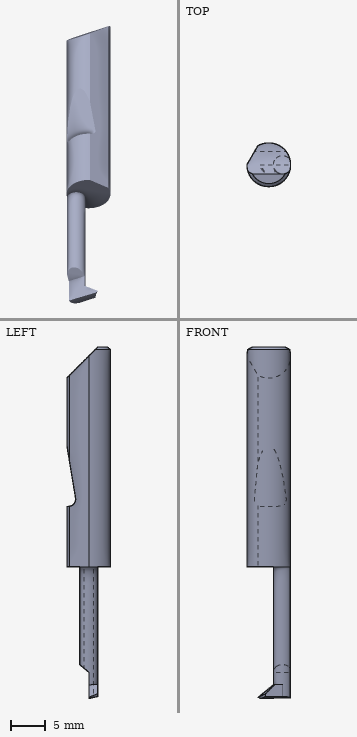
import cadquery as cq
import math

total_length = 50.8
shank_radius = 3.175
shank_bottom = 19.05
shank_chamfer_width = 0.45
shank_chamfer_height = 0.4
side_flat_distance = shank_radius * math.cos(math.radians(30))
side_flat_direction = 150
slant_start_y = -1.3

notch_top = 36.6
notch_bottom = 27.8
notch_root_y = 1.75
notch_fillet = 1.0

neck_radius = 1.3
neck_x = 2.0
relief_bottom = 3.8
relief_top = 4.95

tip_height = 2.1
corner_x = -1.5
corner_z = 0.2
nose_x = -1.15
heel_corner_x = -0.45
heel_corner_z = 0.7
heel_bottom = 0.3
edge_end_z = 0.1
rake_top_x = 0.75
heel_top_x = 0.9

margin = 0.5
wide = 4 * shank_radius


def side_prism(points):
    """Extrude an outline of (y, z) points right across the part along X."""
    return cq.Workplane("YZ").polyline(points).close().extrude(wide / 2, both=True)


def side_flat():
    block = cq.Workplane("XY").box(wide, wide, total_length, centered=(False, True, False))
    block = block.translate((side_flat_distance, 0, 0))
    return block.rotate((0, 0, 0), (0, 0, 1), side_flat_direction)


def slanted_end():
    outer_y = shank_radius + margin
    return side_prism([
        (slant_start_y - margin, total_length + margin),
        (outer_y, total_length + margin),
        (outer_y, total_length - (outer_y - slant_start_y)),
    ])


def clamping_notch():
    notch = side_prism([
        (shank_radius, notch_top),
        (notch_root_y, notch_bottom),
        (shank_radius + margin, notch_bottom),
        (shank_radius + margin, notch_top),
    ])
    root = cq.selectors.NearestToPointSelector((0, notch_root_y, notch_bottom))
    return notch.edges("|X").edges(root).fillet(notch_fillet)


def make_shank():
    length = total_length - shank_bottom
    shank = cq.Workplane("XY", origin=(0, 0, shank_bottom)).circle(shank_radius).extrude(length)
    shank = shank.faces(">Z").chamfer(shank_chamfer_height, shank_chamfer_width)
    return shank.cut(side_flat()).cut(slanted_end()).cut(clamping_notch())


def make_neck():
    """Round bar trimmed by the shank cylinder, with its lower end ground to half section."""
    neck = cq.Workplane("XY").center(neck_x, 0).circle(neck_radius).extrude(shank_bottom)
    envelope = cq.Workplane("XY").circle(shank_radius).extrude(shank_bottom)
    half_relief = side_prism([
        (0, -margin),
        (0, relief_bottom),
        (neck_radius, relief_top),
        (neck_radius + margin, relief_top),
        (neck_radius + margin, -margin),
    ])
    end_clearance = side_prism([
        (margin, -margin),
        (0, edge_end_z),
        (-neck_radius, heel_bottom),
        (-neck_radius - margin, -margin),
    ])
    return neck.intersect(envelope).cut(half_relief).cut(end_clearance)


def make_tip():
    """Ruled hook between the rake outline and the smaller heel outline."""
    rake_outline = [
        (neck_x, tip_height),
        (rake_top_x, tip_height),
        (corner_x, corner_z),
        (nose_x, 0),
        (neck_x, edge_end_z),
    ]
    heel_outline = [
        (neck_x, tip_height),
        (heel_top_x, tip_height),
        (heel_corner_x, heel_corner_z),
        (heel_corner_x, heel_bottom),
        (neck_x, heel_bottom),
    ]
    tip = cq.Workplane("XZ").polyline(rake_outline).close()
    tip = tip.workplane(offset=neck_radius).polyline(heel_outline).close()
    return tip.loft(ruled=True)


result = make_shank().union(make_neck()).union(make_tip())